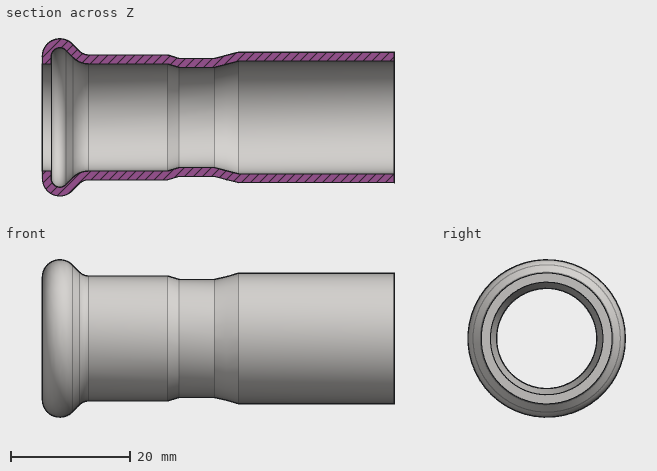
import cadquery as cq
import math

total_length = 59.0
wall = 1.55

bead_outer_radius = 13.2
socket_radius = 10.5
neck_radius = 9.9
spigot_radius = 11.0

socket_end = 21.0
neck_start = 22.95
neck_end = 28.85
spigot_start = 32.9

crest_radius = 2.95
crest_center_x = crest_radius
crest_center_radius = bead_outer_radius - crest_radius
blend_radius = 2.1
flank_angle = math.radians(45)


def crest_point(radius, angle):
    """Point on a bead crest arc; the angle runs from the crest top toward the socket."""
    x = crest_center_x + radius * math.sin(angle)
    r = crest_center_radius + radius * math.cos(angle)
    return x, r


flank_start_x, flank_start_radius = crest_point(crest_radius, flank_angle)
flank_end_radius = socket_radius + blend_radius * (1 - math.cos(flank_angle))
flank_end_x = flank_start_x + (flank_start_radius - flank_end_radius) / math.tan(flank_angle)
blend_center_x = flank_end_x + blend_radius * math.sin(flank_angle)
blend_center_radius = socket_radius + blend_radius


def blend_point(radius, angle):
    """Point on a blend arc; the angle is measured from the socket end of the arc."""
    x = blend_center_x - radius * math.sin(angle)
    r = blend_center_radius - radius * math.cos(angle)
    return x, r


def tube_surface(inset):
    """Solid bounded by the outer surface of the tube moved inward by the inset."""
    crest = crest_radius - inset
    blend = blend_radius + inset
    mouth_x = crest_center_x - crest
    profile = (
        cq.Workplane("XY")
        .moveTo(mouth_x, 0)
        .lineTo(mouth_x, crest_center_radius)
        .threePointArc(crest_point(crest, 0), crest_point(crest, flank_angle))
        .lineTo(*blend_point(blend, flank_angle))
        .threePointArc(blend_point(blend, flank_angle / 2), blend_point(blend, 0))
        .lineTo(socket_end, socket_radius - inset)
        .lineTo(neck_start, neck_radius - inset)
        .lineTo(neck_end, neck_radius - inset)
        .lineTo(spigot_start, spigot_radius - inset)
        .lineTo(total_length, spigot_radius - inset)
        .lineTo(total_length, 0)
        .close()
    )
    return profile.revolve(360, (0, 0, 0), (1, 0, 0))


mouth_opening = cq.Workplane("YZ").circle(socket_radius - wall).extrude(crest_center_x)

result = tube_surface(0).cut(tube_surface(wall)).cut(mouth_opening)